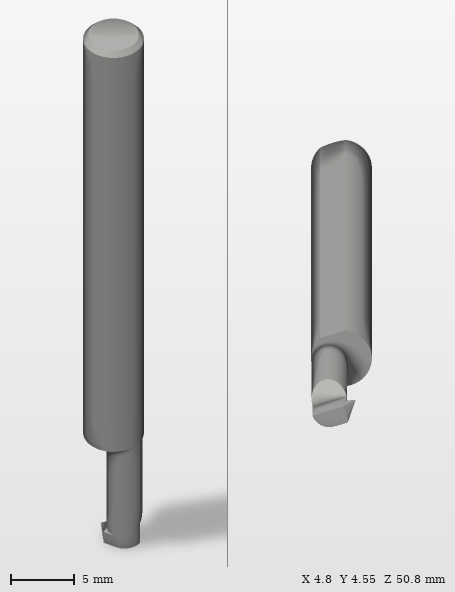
import cadquery as cq

total_length = 50.8
shank_diameter = 4.8
shank_radius = shank_diameter / 2
flat_offset = 2.15
end_chamfer = 0.4

neck_length = 10.25
neck_diameter = 2.8
neck_radius = neck_diameter / 2
neck_x = shank_radius - neck_radius

relief_end_height = 2.0
relief_start_height = 3.2

point_x = -1.15
point_height = 0.6
head_left_x = -0.1
head_top_height = 1.25
lower_flank_x = -0.15
block_height = 1.1
nose_height = 0.2


def make_shank():
    shank = (
        cq.Workplane("XY")
        .workplane(offset=neck_length)
        .circle(shank_radius)
        .extrude(total_length - neck_length)
        .faces(">Z")
        .chamfer(end_chamfer)
    )
    envelope = cq.Workplane("XY").box(
        shank_diameter, shank_radius + flat_offset, total_length, centered=(True, False, False)
    )
    return shank.intersect(envelope.translate((0, -shank_radius, 0)))


def make_neck():
    neck = cq.Workplane("XY").center(neck_x, 0).circle(neck_radius).extrude(neck_length)
    relief = (
        cq.Workplane("YZ")
        .polyline([(0, 0), (neck_radius, 0), (neck_radius, relief_start_height), (0, relief_end_height)])
        .close()
        .extrude(shank_diameter, both=True)
    )
    side_clearance = (
        cq.Workplane("XY")
        .box(shank_diameter, shank_diameter, head_top_height, centered=(False, True, False))
        .translate((head_left_x - shank_diameter, 0, 0))
    )
    return neck.cut(relief).cut(side_clearance)


def make_cutting_head():
    cutting_profile = [
        (neck_x, 0),
        (lower_flank_x, 0),
        (point_x, point_height),
        (head_left_x, head_top_height),
        (neck_x, head_top_height),
    ]
    block_profile = [
        (neck_x, 0),
        (head_left_x, 0),
        (head_left_x, nose_height),
        (head_left_x, block_height),
        (neck_x, block_height),
    ]
    return (
        cq.Workplane("XZ")
        .polyline(cutting_profile)
        .close()
        .workplane(offset=neck_radius)
        .polyline(block_profile)
        .close()
        .loft(ruled=True)
    )


result = make_shank().union(make_neck()).union(make_cutting_head())